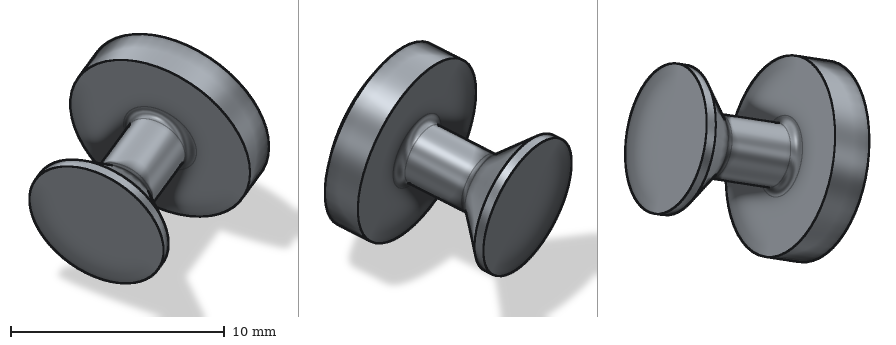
import cadquery as cq
import math

total_length = 9.525
head_diameter = 9.525
head_thickness = 3.175
dome_height = 1.27

foot_diameter = 7.112
foot_rim_thickness = 0.508
taper_angle = math.radians(45)

neck_diameter = 3.06
blend_radius = 0.4

head_radius = head_diameter / 2
foot_radius = foot_diameter / 2
neck_radius = neck_diameter / 2

head_underside = total_length - head_thickness
dome_edge = total_length - dome_height
taper_corner = foot_rim_thickness + (foot_radius - neck_radius) / math.tan(taper_angle)
blend_setback = blend_radius * math.tan(taper_angle / 2)

blend_center_radius = neck_radius + blend_radius


def point_on_blend(center_y, angle):
    """Point on a blend arc, at an angle along Y from its tangent point on the neck."""
    return (
        blend_center_radius - blend_radius * math.cos(angle),
        center_y + blend_radius * math.sin(angle),
    )


def point_on_dome(fraction):
    """Point on the dome, at a fraction of the angle from its apex to its edge."""
    sphere_radius = (head_radius**2 + dome_height**2) / (2 * dome_height)
    angle = fraction * math.asin(head_radius / sphere_radius)
    return (
        sphere_radius * math.sin(angle),
        total_length - sphere_radius * (1 - math.cos(angle)),
    )


def make_half_profile():
    """Half section of the whole part; X is the radius and Y the length."""
    foot_blend_y = taper_corner + blend_setback
    head_blend_y = head_underside - blend_radius
    quarter_turn = math.pi / 2
    return (
        cq.Workplane("XY")
        .lineTo(foot_radius, 0)
        .lineTo(foot_radius, foot_rim_thickness)
        .lineTo(*point_on_blend(foot_blend_y, -taper_angle))
        .threePointArc(
            point_on_blend(foot_blend_y, -taper_angle / 2),
            point_on_blend(foot_blend_y, 0),
        )
        .lineTo(neck_radius, head_blend_y)
        .threePointArc(
            point_on_blend(head_blend_y, quarter_turn / 2),
            point_on_blend(head_blend_y, quarter_turn),
        )
        .lineTo(head_radius, head_underside)
        .lineTo(head_radius, dome_edge)
        .threePointArc(point_on_dome(0.5), (0, total_length))
        .close()
    )


result = make_half_profile().revolve(360, (0, 0), (0, 1))